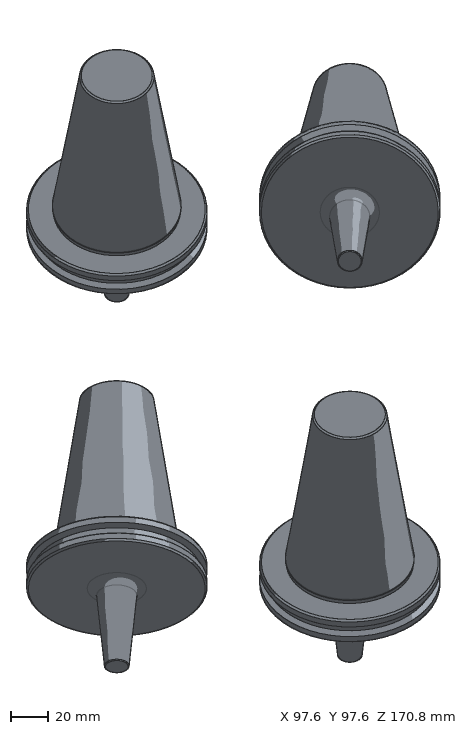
import cadquery as cq
import math

total_length = 170.8
nose_length = 50.0
flange_width = 15.9
collar_height = 3.2

gauge_radius = 34.9
taper_ratio = 7 / 24
taper_end_chamfer = 0.9
gauge_land_height = 0.9
collar_radius = 34.5

flange_radius = 48.78
flange_chamfer = 1.0
groove_depth = 2.9
rim_width = 4.53
groove_wall_angle = 30.0

nose_tip_radius = 6.7
nose_half_angle = 5.3
nose_tip_chamfer = 0.5
nose_fillet = 5.1

flange_bottom = nose_length
flange_top = flange_bottom + flange_width
gauge_level = flange_top + collar_height
land_bottom = gauge_level - gauge_land_height

taper_top_radius = gauge_radius - (total_length - gauge_level) * taper_ratio / 2
nose_root_radius = nose_tip_radius + nose_length * math.tan(math.radians(nose_half_angle))
groove_wall_height = groove_depth * math.tan(math.radians(groove_wall_angle))


def revolve_profile(points):
    """Turn a closed (radius, height) outline around the Z axis."""
    return cq.Workplane("XZ").polyline(points).close().revolve(360, (0, 0), (0, 1))


def make_taper():
    taper = revolve_profile([
        (0, flange_top),
        (collar_radius, flange_top),
        (collar_radius, land_bottom),
        (gauge_radius, land_bottom),
        (gauge_radius, gauge_level),
        (taper_top_radius, total_length),
        (0, total_length),
    ])
    return taper.faces(">Z").edges().chamfer(taper_end_chamfer)


def make_flange_and_nose():
    body = revolve_profile([
        (0, 0),
        (nose_tip_radius, 0),
        (nose_root_radius, flange_bottom),
        (flange_radius, flange_bottom),
        (flange_radius, flange_top),
        (0, flange_top),
    ])
    nose_root = cq.selectors.RadiusNthSelector(1)
    body = body.edges("%CIRCLE").edges(nose_root).fillet(nose_fillet)
    body = body.faces("<Z").edges().chamfer(nose_tip_chamfer)
    rim = cq.selectors.RadiusNthSelector(-1)
    return body.edges("%CIRCLE").edges(rim).chamfer(flange_chamfer)


def make_groove_ring():
    floor_radius = flange_radius - groove_depth
    lower_edge = flange_bottom + rim_width
    upper_edge = flange_top - rim_width
    return revolve_profile([
        (flange_radius, lower_edge),
        (floor_radius, lower_edge + groove_wall_height),
        (floor_radius, upper_edge - groove_wall_height),
        (flange_radius, upper_edge),
    ])


result = make_flange_and_nose().cut(make_groove_ring()).union(make_taper())